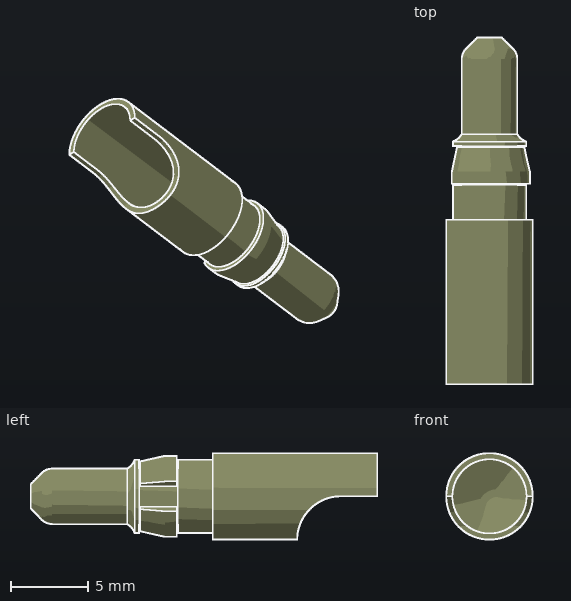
import cadquery as cq
import math

total_length = 22.4
tip_round_end = 1.4
flare_start = 6.25
collar_start = 6.72
collar_end = 7.0
ring_taper_end = 8.67
groove_end = 9.52
ring_clearance = 0.07
ring_start = collar_end + ring_clearance
ring_end = groove_end - ring_clearance
barrel_start = 11.75
bore_floor = 13.89
cutaway_start = 17.23

pin_radius = 3.6 / 2
tip_flat_radius = 0.78
tip_round_radius = 0.95
flare_sag = 0.07
shank_radius = 4.75 / 2
barrel_radius = 5.6 / 2
bore_radius = 4.8 / 2
ring_front_radius = 2.26
ring_radius = 2.62

tip_angle = 45.0
drill_point_angle = 118.0
ring_gap_angle = 43.0

tip_y = total_length / 2


def station(distance):
    """Y position at a distance behind the pin tip."""
    return tip_y - distance


def revolve_about_y(profile):
    return profile.close().revolve(360, (0, 0, 0), (0, 1, 0))


def tip_round_point(angle):
    """Point on the tip round after turning inward from the pin side."""
    turn = math.radians(angle)
    radial = pin_radius - tip_round_radius * (1 - math.cos(turn))
    return (radial, station(tip_round_end - tip_round_radius * math.sin(turn)))


def make_body():
    """Solid turned pin, collar, ring groove, shank and barrel."""
    tip_mid = tip_round_point(tip_angle / 2)
    tip_front = tip_round_point(tip_angle)

    chord_radial = shank_radius - pin_radius
    chord_axial = collar_start - flare_start
    chord = math.hypot(chord_radial, chord_axial)
    flare_mid = (
        (pin_radius + shank_radius) / 2 - flare_sag * chord_axial / chord,
        station((flare_start + collar_start) / 2) - flare_sag * chord_radial / chord,
    )

    profile = (
        cq.Workplane("XY")
        .moveTo(0, tip_y)
        .lineTo(tip_flat_radius, tip_y)
        .lineTo(*tip_front)
        .threePointArc(tip_mid, (pin_radius, station(tip_round_end)))
        .lineTo(pin_radius, station(flare_start))
        .threePointArc(flare_mid, (shank_radius, station(collar_start)))
        .lineTo(shank_radius, station(collar_end))
        .lineTo(pin_radius, station(collar_end))
        .lineTo(pin_radius, station(groove_end))
        .lineTo(shank_radius, station(groove_end))
        .lineTo(shank_radius, station(barrel_start))
        .lineTo(barrel_radius, station(barrel_start))
        .lineTo(barrel_radius, station(total_length))
        .lineTo(0, station(total_length))
    )
    return revolve_about_y(profile)


def make_retaining_ring():
    """Tapered ring with a little end clearance in the groove, split by a radial gap facing -X."""
    ring = revolve_about_y(
        cq.Workplane("XY")
        .moveTo(pin_radius, station(ring_start))
        .lineTo(ring_front_radius, station(ring_start))
        .lineTo(ring_radius, station(ring_taper_end))
        .lineTo(ring_radius, station(ring_end))
        .lineTo(pin_radius, station(ring_end))
    )
    wedge_reach = 2 * ring_radius
    half_width = wedge_reach * math.tan(math.radians(ring_gap_angle / 2))
    gap = (
        cq.Workplane("XZ", origin=(0, station(ring_start), 0))
        .polyline([(0, 0), (-wedge_reach, half_width), (-wedge_reach, -half_width)])
        .close()
        .extrude(ring_end - ring_start)
    )
    return ring.cut(gap)


def make_bore():
    """Drilled blind hole with a conical floor, open at the rear."""
    point_depth = bore_radius / math.tan(math.radians(drill_point_angle / 2))
    return revolve_about_y(
        cq.Workplane("XY")
        .moveTo(0, station(bore_floor - point_depth))
        .lineTo(bore_radius, station(bore_floor))
        .lineTo(bore_radius, station(total_length))
        .lineTo(0, station(total_length))
    )


def make_cutaway():
    """Removes the lower half of the barrel's rear, with a round run-out."""
    runout_radius = barrel_radius
    runout_y = station(cutaway_start + runout_radius)
    diagonal = runout_radius * math.sqrt(0.5)
    return (
        cq.Workplane("YZ")
        .moveTo(station(total_length), 0)
        .lineTo(runout_y, 0)
        .threePointArc(
            (runout_y + diagonal, diagonal - runout_radius),
            (station(cutaway_start), -runout_radius),
        )
        .lineTo(station(total_length), -runout_radius)
        .close()
        .extrude(barrel_radius, both=True)
    )


body = make_body().union(make_retaining_ring())
result = body.cut(make_bore()).cut(make_cutaway())